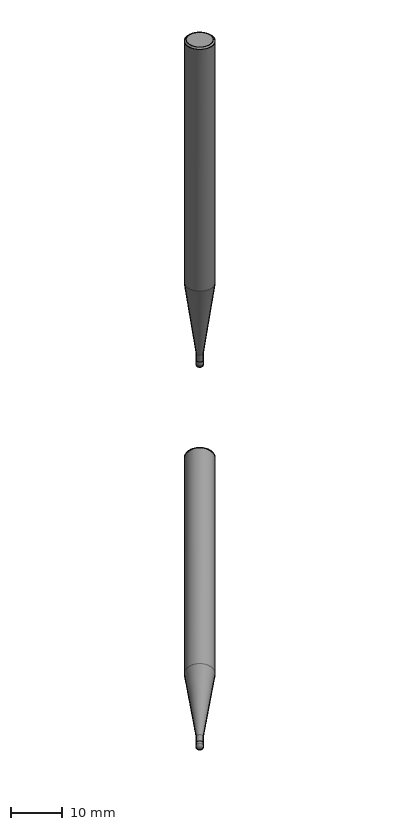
import cadquery as cq
import math

total_length = 76.0

ball_radius = 0.75
cutting_length = 2 * ball_radius

neck_radius = 0.7
neck_top = 3.1
shank_radius = 3.0
taper_top = 19.5
chamfer_width = 0.4
chamfer_height = 0.3


def revolve_about_axis(half_profile):
    """Turn a closed XZ half profile once around the tool axis."""
    return half_profile.revolve(360, (0, 0, 0), (0, 1, 0))


def make_cutting_head():
    """Hemispherical nose whose land narrows slightly to meet the neck."""
    arc_offset = ball_radius * math.sqrt(0.5)
    half_profile = (
        cq.Workplane("XZ")
        .threePointArc((arc_offset, ball_radius - arc_offset), (ball_radius, ball_radius))
        .lineTo(neck_radius, cutting_length)
        .lineTo(0, cutting_length)
        .close()
    )
    return revolve_about_axis(half_profile)


def make_shank():
    """Cylindrical neck that widens through a taper into the chamfered shank."""
    half_profile = (
        cq.Workplane("XZ")
        .moveTo(0, cutting_length)
        .lineTo(neck_radius, cutting_length)
        .lineTo(neck_radius, neck_top)
        .lineTo(shank_radius, taper_top)
        .lineTo(shank_radius, total_length - chamfer_height)
        .lineTo(shank_radius - chamfer_width, total_length)
        .lineTo(0, total_length)
        .close()
    )
    return revolve_about_axis(half_profile)


cutting_head = make_cutting_head()
shank = make_shank()

result = cq.Compound.makeCompound([cutting_head.val(), shank.val()])